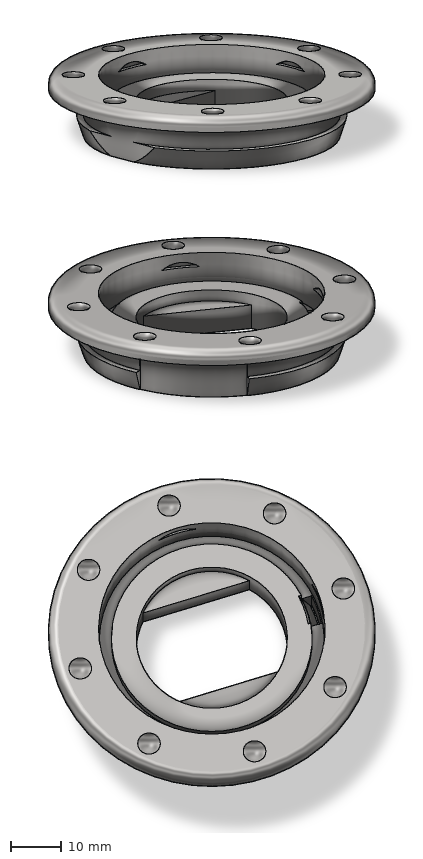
import cadquery as cq
import math

total_height = 12.5
lip_height = 4.1
rim_thickness = 3.0
rim_bottom = total_height - rim_thickness
floor_top = 7.35
groove_bottom = 5.3
bore_taper_start = 7.2
bar_top = 5.0

rim_radius = 32.5
rim_fillet = 2.0
neck_top_radius = 26.0
neck_bottom_radius = 25.55
lip_radius = 26.9
bore_radius = 22.5
groove_outer_radius = 22.35
groove_inner_radius = 19.95
hole_radius = 15.0
opening_width = 20.15

flat_distance = 25.35
relief_radius = 25.35
relief_angle = 50.0
cutter_radius = 39.0

dimple_count = 8
dimple_circle_radius = 27.5
dimple_diameter = 4.5
dimple_depth = 1.2

slot_width = 6.2
slot_top_radius = 19.4
slot_bottom_radius = 21.85
slot_outer_radius = 22.1

recess_count = 4
recess_width = 7.7
recess_height = 1.2
recess_flat_distance = 23.4


def make_body():
    """Revolve the rim, tapered neck, undercut lip, bore and groove."""
    profile = (
        cq.Workplane("XZ")
        .moveTo(hole_radius, 0)
        .lineTo(neck_bottom_radius, 0)
        .lineTo(lip_radius, lip_height)
        .lineTo(neck_bottom_radius, lip_height)
        .lineTo(neck_top_radius, rim_bottom)
        .lineTo(rim_radius, rim_bottom)
        .lineTo(rim_radius, total_height - rim_fillet)
        .radiusArc((rim_radius - rim_fillet, total_height), -rim_fillet)
        .lineTo(bore_radius, total_height)
        .lineTo(bore_radius, bore_taper_start)
        .lineTo(groove_outer_radius, groove_bottom)
        .lineTo(groove_inner_radius, groove_bottom)
        .lineTo(groove_inner_radius, floor_top)
        .lineTo(hole_radius, floor_top)
        .close()
    )
    return profile.revolve(360, (0, 0, 0), (0, 1, 0))


def make_bars():
    """Two segments that narrow the lower part of the hole to parallel sides."""
    disc_radius = (hole_radius + groove_inner_radius) / 2
    disc = cq.Workplane("XY").circle(disc_radius).extrude(bar_top)
    hole = cq.Workplane("XY").circle(hole_radius).extrude(bar_top)
    opening = cq.Workplane("XY").rect(opening_width, 2 * rim_radius).extrude(bar_top)
    return disc.cut(hole.intersect(opening))


def make_flat_cutter():
    """Block that trims the neck and lip flat on the -Y side."""
    depth = rim_radius - flat_distance
    return (
        cq.Workplane("XY")
        .center(0, -flat_distance - depth / 2)
        .rect(2 * rim_radius, depth)
        .extrude(rim_bottom)
    )


def make_relief_cutter():
    """Sector that removes the lip from the -X axis toward +Y."""
    end_angle = math.radians(180 - relief_angle)
    mid_angle = math.radians(180 - relief_angle / 2)
    sector = (
        cq.Workplane("XY")
        .moveTo(-relief_radius, 0)
        .lineTo(-cutter_radius, 0)
        .threePointArc(
            (cutter_radius * math.cos(mid_angle), cutter_radius * math.sin(mid_angle)),
            (cutter_radius * math.cos(end_angle), cutter_radius * math.sin(end_angle)),
        )
        .lineTo(relief_radius * math.cos(end_angle), relief_radius * math.sin(end_angle))
        .threePointArc(
            (relief_radius * math.cos(mid_angle), relief_radius * math.sin(mid_angle)),
            (-relief_radius, 0),
        )
        .close()
    )
    return sector.extrude(rim_bottom)


def make_dimple_cutters():
    """Ring of spheres that leave shallow round dimples in the rim."""
    half_chord = dimple_diameter / 2
    sphere_radius = (half_chord**2 + dimple_depth**2) / (2 * dimple_depth)
    centre_height = total_height - dimple_depth + sphere_radius
    return (
        cq.Workplane("XY", origin=(0, 0, centre_height))
        .polarArray(dimple_circle_radius, 0, 360, dimple_count)
        .sphere(sphere_radius)
    )


def make_slot_cutter():
    """Through slot whose inner wall is a cone widening toward the underside."""
    ring = (
        cq.Workplane("XZ")
        .moveTo(slot_bottom_radius, 0)
        .lineTo(slot_outer_radius, 0)
        .lineTo(slot_outer_radius, floor_top)
        .lineTo(slot_top_radius, floor_top)
        .close()
        .revolve(360, (0, 0, 0), (0, 1, 0))
    )
    window = (
        cq.Workplane("XY")
        .center(0, -rim_radius / 2)
        .rect(slot_width, rim_radius)
        .extrude(floor_top)
    )
    return ring.intersect(window)


def make_recess_cutter(angle):
    """Arched recess at the level of the rim underside, ending in a flat face."""
    arch = (
        cq.Workplane("XZ")
        .moveTo(-recess_width / 2, rim_bottom)
        .threePointArc((0, rim_bottom + recess_height), (recess_width / 2, rim_bottom))
        .close()
        .extrude(recess_flat_distance)
    )
    return arch.rotate((0, 0, 0), (0, 0, 1), angle)


result = make_body().union(make_bars())
result = result.cut(make_flat_cutter())
result = result.cut(make_relief_cutter())
result = result.cut(make_dimple_cutters())
result = result.cut(make_slot_cutter())
for index in range(recess_count):
    result = result.cut(make_recess_cutter(index * 360 / recess_count))